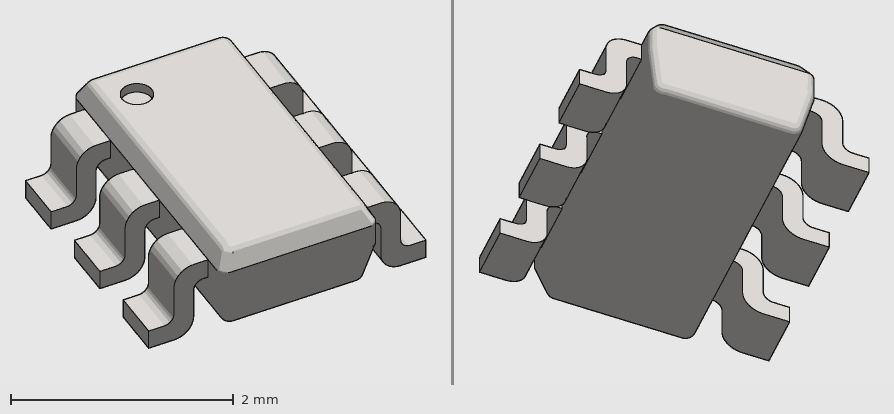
import cadquery as cq

body_length = 2.9
body_width = 1.6
total_height = 1.0
standoff = 0.1
band_bottom = 0.555
band_top = 0.8
taper_inset = 0.1
edge_radius = 0.1

dimple_diameter = 0.3
dimple_depth = 0.1
dimple_from_end = 0.49
dimple_from_side = 0.4

leads_per_side = 3
lead_pitch = 0.95
lead_width = 0.5
lead_thickness = 0.2
lead_top = band_top
lead_span = 2.8
foot_length = 0.255
outer_bend_radius = 0.2
inner_bend_radius = 0.1


def tapered_block(base_z, height):
    """Block with the full body outline at base_z, leaning in towards its other end."""
    return (
        cq.Workplane("XY", origin=(0, 0, base_z))
        .rect(body_length, body_width)
        .workplane(offset=height)
        .rect(body_length - 2 * taper_inset, body_width - 2 * taper_inset)
        .loft(combine=True)
    )


def make_body():
    """Moulded body: straight band between two tapered halves, rounded edges, dimple on top."""
    band = cq.Workplane("XY", origin=(0, 0, band_bottom)).rect(body_length, body_width)
    band = band.extrude(band_top - band_bottom)
    upper = tapered_block(band_top, total_height - band_top)
    lower = tapered_block(band_bottom, standoff - band_bottom)
    block = band.union(upper).union(lower)

    corners = block.edges("not(#Z)")
    rims = block.faces("<Z or >Z").edges()
    block = block.newObject(corners.vals() + rims.vals()).fillet(edge_radius)

    dimple = (
        cq.Workplane("XY", origin=(0, 0, total_height - dimple_depth))
        .center(dimple_from_end - body_length / 2, dimple_from_side - body_width / 2)
        .circle(dimple_diameter / 2)
        .extrude(dimple_depth)
    )
    return block.cut(dimple)


def make_lead(x, side):
    """Gull-wing lead centred at x; side is +1 for the +Y row and -1 for the -Y row."""
    wall = body_width / 2
    tip = lead_span / 2
    upright_outer = tip - foot_length
    upright_inner = upright_outer - lead_thickness
    profile = (
        cq.Workplane("YZ", origin=(x - lead_width / 2, 0, 0))
        .moveTo(side * wall, lead_top)
        .lineTo(side * upright_outer, lead_top)
        .lineTo(side * upright_outer, lead_thickness)
        .lineTo(side * tip, lead_thickness)
        .lineTo(side * tip, 0)
        .lineTo(side * upright_inner, 0)
        .lineTo(side * upright_inner, lead_top - lead_thickness)
        .lineTo(side * wall, lead_top - lead_thickness)
        .close()
    )
    lead = profile.extrude(lead_width)

    def bend_edge(y, z):
        return cq.selectors.NearestToPointSelector((x, side * y, z))

    lead = lead.edges("|X").edges(bend_edge(upright_outer, lead_top)).fillet(outer_bend_radius)
    lead = lead.edges("|X").edges(bend_edge(upright_inner, 0)).fillet(outer_bend_radius)
    lead = lead.edges("|X").edges(bend_edge(upright_outer, lead_thickness)).fillet(inner_bend_radius)
    inner_top = bend_edge(upright_inner, lead_top - lead_thickness)
    return lead.edges("|X").edges(inner_top).fillet(inner_bend_radius)


body = make_body()

leads = []
for side in (-1, 1):
    for index in range(leads_per_side):
        x = (index - (leads_per_side - 1) / 2) * lead_pitch
        leads.append(make_lead(x, side).val())

result = cq.Compound.makeCompound([body.val(), *leads])